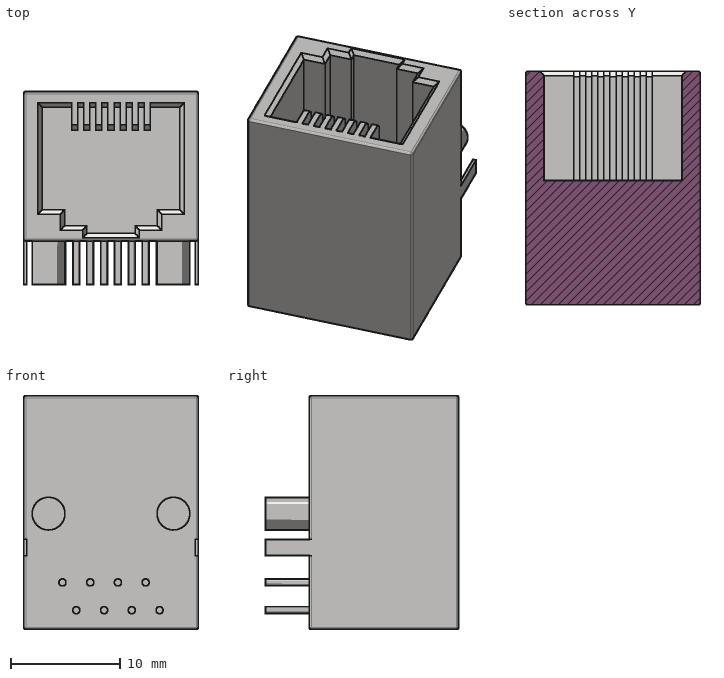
import cadquery as cq

body_width = 16.0
body_depth = 13.7
body_height = 21.4
edge_radius = 0.2

cavity_back = 12.25
cavity_steps = [(6.3, 2.85), (4.25, 1.4), (2.2, 0.7)]
cavity_depth = 10.0
mouth_chamfer = 0.4

rib_count = 7
rib_width = 0.55
rib_pitch = 2 * rib_width
rib_tip = 10.15
rib_chamfer = 0.5

lead_length = 4.0
peg_diameter = 3.0
peg_spacing = 11.43
peg_height = 10.6
tab_thickness = 0.3
tab_width = 1.5
tab_height = 7.5
pin_diameter = 0.65
pins_per_row = 4
pin_pitch = 2.54
pin_stagger = pin_pitch / 2
upper_row_height = 4.3
lower_row_height = upper_row_height - pin_pitch


def make_body():
    """Block with all outer edges rounded."""
    block = cq.Workplane("XY").box(body_width, body_depth, body_height, centered=(True, False, False))
    return block.edges().fillet(edge_radius)


def stepped_outline(plane, margin):
    """Closed cavity outline on a plane, grown outwards by a margin with sharp corners."""
    right_side = []
    wall = cavity_back + margin
    for half_width, step_front in cavity_steps:
        x = half_width + margin
        y = step_front - margin
        right_side += [(x, wall), (x, y)]
        wall = y
    left_side = [(-x, y) for x, y in reversed(right_side)]
    return plane.polyline(right_side + left_side).close()


def make_cavity():
    """Stepped plug cavity, flared at the mouth."""
    floor = cq.Workplane("XY", origin=(0, 0, body_height - cavity_depth))
    shaft = stepped_outline(floor, 0).extrude(cavity_depth)

    flare_start = cq.Workplane("XY", origin=(0, 0, body_height - mouth_chamfer))
    flare_end = stepped_outline(flare_start, 0).workplane(offset=mouth_chamfer)
    flare = stepped_outline(flare_end, mouth_chamfer).loft(ruled=True)
    return shaft.union(flare)


def make_rib(x):
    """Upright rib, flush with the top, with its upper front corner chamfered."""
    bottom = body_height - cavity_depth
    root = cavity_back + mouth_chamfer
    profile = [
        (root, bottom),
        (rib_tip, bottom),
        (rib_tip, body_height - rib_chamfer),
        (rib_tip + rib_chamfer, body_height),
        (root, body_height),
    ]
    plane = cq.Workplane("YZ", origin=(x, 0, 0))
    return plane.polyline(profile).close().extrude(rib_width / 2, both=True)


def make_lead(diameter, x, z):
    """Round lead standing out of the board-side face."""
    return cq.Workplane("XZ", origin=(x, 0, z)).circle(diameter / 2).extrude(lead_length)


def make_tab(side):
    """Flat shield tab, flush with the side wall; side is -1 or 1."""
    length = lead_length + edge_radius
    x = side * (body_width - tab_thickness) / 2
    y = edge_radius - length / 2
    return cq.Workplane("XY", origin=(x, y, tab_height)).box(tab_thickness, length, tab_width)


result = make_body().cut(make_cavity())

for index in range(rib_count):
    result = result.union(make_rib((index - (rib_count - 1) / 2) * rib_pitch))

for side in (-1, 1):
    result = result.union(make_lead(peg_diameter, side * peg_spacing / 2, peg_height))
    result = result.union(make_tab(side))

for index in range(pins_per_row):
    centre_x = (index - (pins_per_row - 1) / 2) * pin_pitch
    result = result.union(make_lead(pin_diameter, centre_x - pin_stagger / 2, upper_row_height))
    result = result.union(make_lead(pin_diameter, centre_x + pin_stagger / 2, lower_row_height))